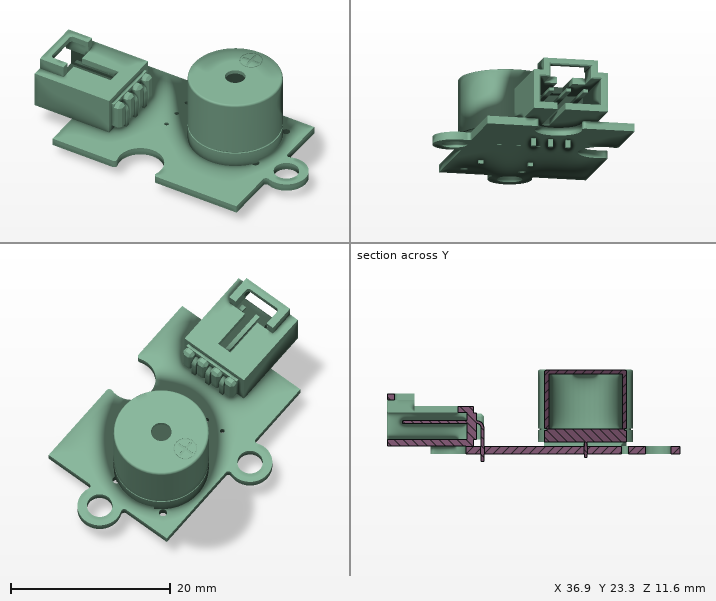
import cadquery as cq
import math


board_length = 27.0
board_width = 19.0
board_thickness = 1.0
board_left = -board_length / 2
board_right = board_length / 2
board_back = board_width / 2
board_front = -board_width / 2

lug_diameter = 5.6
lug_hole_diameter = 3.2
notch_diameter = 5.98
top_lug_offset = 1.48
side_lug_offset = 1.62
notch_offset = 1.48
blend_radius = 0.4
edge_tolerance = 0.0005
lug_x = board_left + 12.03

small_hole_diameter = 0.6
small_hole_pitch = 2.5
small_hole_x = board_left + 10.75
small_hole_middle_y = 3.0

large_hole_diameter = 1.0
large_hole_x = board_left + 24.45
large_hole_ys = (6.85, -0.63)

pin_thickness = 0.4
pin_width = 0.6

buzzer_x = board_left + 19.52
buzzer_y = 2.65
buzzer_height = 9.6
buzzer_diameter = 12.0
cap_inner_diameter = 11.0
cap_roof = 0.5
cap_edge_radius = 0.25
sound_hole_diameter = 2.6
neck_diameter = 11.5
base_height = 2.0
neck_height = 0.22
foot_height = 0.5
foot_gap_width = 5.98
buzzer_pin_offset = 3.2
buzzer_pin_projection = 0.45

mark_offset = 3.87
mark_outer_diameter = 3.0
mark_inner_diameter = 2.73
mark_bar_length = 2.3
mark_bar_width = 0.35
mark_depth = 0.055

housing_length = 10.92
housing_width = 9.52
housing_height = 5.0
housing_overhang = 5.45
housing_left = board_left - housing_overhang
housing_back = housing_left + housing_length
seat = board_thickness

side_wall = 0.85
floor_wall = 0.9
roof_wall = 0.8
rear_wall = floor_wall
mouth_chamfer = 0.15

key_length = 3.47
key_width = 7.0
key_top = 6.55
key_cavity_width = 5.28
key_roof = 0.77
key_lip = 0.95
key_window_width = 4.98
key_window_radius = 0.4

slot_depth = 8.9
roof_slot_width = 2.0
floor_slot_width = 1.0
floor_slot_y = 1.2

pin_count = 3
pin_pitch = 2.2
pin_middle_y = -0.15
pin_height = 3.03
pin_tip_depth = 1.92
pin_bend_radius = 0.92
pin_upright_offset = 1.07
pin_projection = 1.0

guide_bottom = 0.77
guide_plate_top = 4.2
guide_plate_thickness = 0.37
tooth_top = 4.1
tooth_length = 1.33
tooth_width = 1.45
tooth_chamfer = 0.37

pin_upright_x = housing_back + pin_upright_offset
pin_ys = [pin_middle_y + (i - (pin_count - 1) / 2) * pin_pitch for i in range(pin_count)]
tooth_ys = [pin_middle_y + (i - pin_count / 2) * pin_pitch for i in range(pin_count + 1)]
buzzer_pin_ys = (buzzer_y - buzzer_pin_offset, buzzer_y + buzzer_pin_offset)


def block(x_min, x_max, y_middle, y_width, z_min, z_max):
    """Box from X and Z limits, centred on a Y position."""
    return cq.Workplane("XY", origin=(x_min, y_middle, z_min)).box(
        x_max - x_min, y_width, z_max - z_min, centered=(False, True, False)
    )


def cylinder(x, y, diameter, z_min, z_max):
    """Upright cylinder between two heights."""
    return cq.Workplane("XY", origin=(x, y, z_min)).circle(diameter / 2).extrude(z_max - z_min)


def board_cylinder(x, y, diameter):
    """Upright cylinder through the full board thickness."""
    return cylinder(x, y, diameter, 0, board_thickness)


def upright_pin(x, y, z_min, z_max):
    """Straight rectangular stretch of a pin."""
    return block(x - pin_thickness / 2, x + pin_thickness / 2, y, pin_width, z_min, z_max)


def make_board():
    lug_centres = [(lug_x, board_back + top_lug_offset), (board_right + side_lug_offset, 0)]
    notch_centres = [(lug_x, board_front + notch_offset), (board_left + notch_offset, 0)]

    board = block(board_left, board_right, 0, board_width, 0, board_thickness)
    for x, y in lug_centres:
        board = board.union(board_cylinder(x, y, lug_diameter))
    for x, y in notch_centres:
        board = board.cut(board_cylinder(x, y, notch_diameter))

    def is_blend_edge(edge):
        middle = edge.Center()
        on_side = math.isclose(abs(middle.x), board_right, abs_tol=edge_tolerance)
        on_end = math.isclose(abs(middle.y), board_back, abs_tol=edge_tolerance)
        return on_side != on_end

    board = board.edges("|Z").filter(is_blend_edge).fillet(blend_radius)

    for x, y in lug_centres:
        board = board.cut(board_cylinder(x, y, lug_hole_diameter))
    for step in (-1, 0, 1):
        hole_y = small_hole_middle_y + step * small_hole_pitch
        board = board.cut(board_cylinder(small_hole_x, hole_y, small_hole_diameter))
    for y in large_hole_ys:
        board = board.cut(board_cylinder(large_hole_x, y, large_hole_diameter))

    for y in pin_ys:
        board = board.cut(upright_pin(pin_upright_x, y, 0, board_thickness))
    for y in buzzer_pin_ys:
        board = board.cut(upright_pin(buzzer_x, y, 0, board_thickness))
    return board


def make_buzzer_base():
    base_top = seat + base_height
    base = cylinder(buzzer_x, buzzer_y, buzzer_diameter, seat, base_top)
    base = base.union(cylinder(buzzer_x, buzzer_y, neck_diameter, base_top, base_top + neck_height))

    radius = buzzer_diameter / 2
    base = base.cut(
        block(buzzer_x - radius, buzzer_x + radius, buzzer_y, foot_gap_width, seat, seat + foot_height)
    )
    for y in buzzer_pin_ys:
        base = base.union(upright_pin(buzzer_x, y, -buzzer_pin_projection, seat + foot_height))
    return base


def make_buzzer_cap():
    cap_bottom = seat + base_height + neck_height
    cap_top = seat + buzzer_height
    cap = cylinder(buzzer_x, buzzer_y, buzzer_diameter, cap_bottom, cap_top)
    cap = cap.faces(">Z").edges().fillet(cap_edge_radius)
    cap = cap.cut(cylinder(buzzer_x, buzzer_y, cap_inner_diameter, cap_bottom, cap_top - cap_roof))
    cap = cap.cut(cylinder(buzzer_x, buzzer_y, sound_hole_diameter, cap_bottom, cap_top))

    mark_y = buzzer_y + mark_offset
    mark_bottom = cap_top - mark_depth
    ring = cylinder(buzzer_x, mark_y, mark_outer_diameter, mark_bottom, cap_top).cut(
        cylinder(buzzer_x, mark_y, mark_inner_diameter, mark_bottom, cap_top)
    )
    cap = cap.cut(ring)
    for size_x, size_y in ((mark_bar_length, mark_bar_width), (mark_bar_width, mark_bar_length)):
        cap = cap.cut(
            block(buzzer_x - size_x / 2, buzzer_x + size_x / 2, mark_y, size_y, mark_bottom, cap_top)
        )
    return cap


def make_housing():
    housing_top = seat + housing_height
    cavity_end = housing_back - rear_wall
    slot_end = housing_left + slot_depth
    key_end = housing_left + key_length
    cavity_bottom = seat + floor_wall
    cavity_top = housing_top - roof_wall
    key_cavity_top = seat + key_top - key_roof

    housing = block(housing_left, housing_back, 0, housing_width, seat, housing_top)
    housing = housing.union(block(housing_left, key_end, 0, key_width, seat, seat + key_top))

    cavity_width = housing_width - 2 * side_wall
    housing = housing.cut(block(housing_left, cavity_end, 0, cavity_width, cavity_bottom, cavity_top))
    housing = housing.cut(block(housing_left, key_end, 0, key_cavity_width, cavity_bottom, key_cavity_top))
    mouth = housing.faces("<X").val().innerWires()[0]
    housing = housing.newObject(mouth.Edges()).chamfer(mouth_chamfer)

    window = block(housing_left + key_lip, key_end, 0, key_window_width, cavity_top, seat + key_top)
    window = window.edges("|Z and <X").fillet(key_window_radius)
    housing = housing.cut(window)

    housing = housing.cut(block(key_end, slot_end, 0, roof_slot_width, cavity_top, housing_top))
    housing = housing.cut(
        block(housing_left, slot_end, floor_slot_y, floor_slot_width, seat, cavity_bottom)
    )
    return housing


def make_connector_pin(y):
    """Pin from the plug cavity, bent down behind the housing and through the board."""
    outer_x = pin_upright_x + pin_thickness / 2
    inner_x = pin_upright_x - pin_thickness / 2
    upper_z = seat + pin_height + pin_thickness / 2
    lower_z = seat + pin_height - pin_thickness / 2
    bend_x = outer_x - pin_bend_radius
    bend_z = upper_z - pin_bend_radius
    inner_radius = pin_bend_radius - pin_thickness
    diagonal = math.sqrt(0.5)
    tip_x = housing_left + pin_tip_depth

    profile = (
        cq.Workplane("XZ", origin=(0, y, 0))
        .moveTo(tip_x, upper_z)
        .lineTo(bend_x, upper_z)
        .threePointArc(
            (bend_x + pin_bend_radius * diagonal, bend_z + pin_bend_radius * diagonal), (outer_x, bend_z)
        )
        .lineTo(outer_x, -pin_projection)
        .lineTo(inner_x, -pin_projection)
        .lineTo(inner_x, bend_z)
        .threePointArc(
            (bend_x + inner_radius * diagonal, bend_z + inner_radius * diagonal), (bend_x, lower_z)
        )
        .lineTo(tip_x, lower_z)
        .close()
    )
    return profile.extrude(pin_width / 2, both=True)


def make_pin_guide():
    """Rear plate with chamfered teeth on both sides of every pin."""
    plate_width = pin_count * pin_pitch + tooth_width
    plate_end = housing_back + guide_plate_thickness
    guide = block(
        housing_back, plate_end, pin_middle_y, plate_width, seat + guide_bottom, seat + guide_plate_top
    )
    for y in tooth_ys:
        tooth = block(
            housing_back, housing_back + tooth_length, y, tooth_width, seat + guide_bottom, seat + tooth_top
        )
        tooth = tooth.edges("(|Z and >X) or (|X and >Z) or (>X and >Z)").chamfer(tooth_chamfer)
        guide = guide.union(tooth)
    return guide


def make_connector():
    connector = make_housing().union(make_pin_guide())
    for y in pin_ys:
        connector = connector.union(make_connector_pin(y))
    return connector


board = make_board()
buzzer_base = make_buzzer_base()
buzzer_cap = make_buzzer_cap()
connector = make_connector()

result = cq.Compound.makeCompound([board.val(), buzzer_base.val(), buzzer_cap.val(), connector.val()])